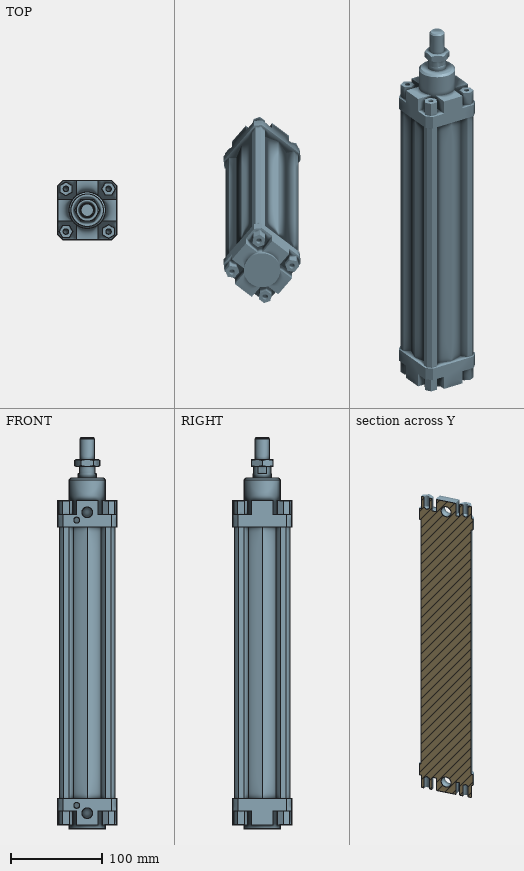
import cadquery as cq
import math

total_height = 429.0
spigot_height = 4.5
cap_height = 29.0
pocket_depth = 15.0
upper_cap_top = 360.0
collar_top = 385.0
upper_cap_bottom = upper_cap_top - cap_height
lower_cap_top = spigot_height + cap_height

cap_width = 65.0
cap_chamfer = 6.0
cross_half_width = 12.0
collar_diameter = 40.0
collar_chamfer = 2.0

post_pitch = 46.8
post_offset = post_pitch / 2
post_across_corners = 15.0
post_hole_diameter = 6.0
post_hole_depth = 13.0
drill_tip_depth = post_hole_diameter / 2 * math.tan(math.radians(30))

port_diameter = 11.5
port_depth = 12.0
port_to_cap_end = 13.0
screw_hole_diameter = 6.5
screw_hole_depth = 4.5
screw_hole_x = -11.5
screw_hole_to_cap_end = 21.5

barrel_half_width = 30.5
barrel_chamfer_start = 26.0
barrel_land_start = 20.0
barrel_recess_start = 15.0
barrel_recess_depth = 6.5
barrel_ridge_depth = 1.7

rod_diameter = 20.0
thread_diameter = 16.5
thread_chamfer_radial = 1.5
thread_chamfer_axial = 1.7
thread_bottom = 397.3
neck_diameter = 19.7
neck_bottom = 389.5
neck_taper_height = 1.5
flats_across = 17.0
rod_bottom = upper_cap_bottom

nut_bottom = thread_bottom
nut_height = 7.7
nut_across_flats = 24.0
nut_chamfer_angle = 30


def cylinder(diameter, bottom, top):
    return cq.Workplane("XY").workplane(offset=bottom).circle(diameter / 2).extrude(top - bottom)


def turned_around_z(shape):
    """The shape in all four quarter-turn positions about Z."""
    return [shape.rotate((0, 0, 0), (0, 0, 1), 90 * quarter) for quarter in range(4)]


def make_barrel():
    """Tube profile whose four equal sides have a recess with a shallow central ridge."""
    side = [
        (-barrel_chamfer_start, -barrel_half_width),
        (-barrel_land_start, -barrel_half_width),
        (-barrel_recess_start, -barrel_half_width + barrel_recess_depth),
        (0, -barrel_half_width + barrel_ridge_depth),
        (barrel_recess_start, -barrel_half_width + barrel_recess_depth),
        (barrel_land_start, -barrel_half_width),
        (barrel_chamfer_start, -barrel_half_width),
    ]
    outline = list(side)
    for _ in range(3):
        side = [(-y, x) for x, y in side]
        outline += side
    return (
        cq.Workplane("XY")
        .workplane(offset=lower_cap_top)
        .polyline(outline)
        .close()
        .extrude(upper_cap_bottom - lower_cap_top)
    )


def make_post():
    """Hexagonal corner post, standing on a pocket floor of a cap whose base is at Z = 0."""
    post_bottom = cap_height - pocket_depth
    return (
        cq.Workplane("XY")
        .workplane(offset=post_bottom)
        .center(-post_offset, -post_offset)
        .polygon(6, post_across_corners)
        .extrude(pocket_depth)
    )


def make_post_hole():
    """Blind hole with a conical drill tip, down from the top end of a post."""
    hole_bottom = cap_height - post_hole_depth
    return (
        cq.Workplane("XZ")
        .moveTo(0, cap_height)
        .lineTo(post_hole_diameter / 2, cap_height)
        .lineTo(post_hole_diameter / 2, hole_bottom)
        .lineTo(0, hole_bottom - drill_tip_depth)
        .close()
        .revolve(360, (0, 0), (0, 1))
        .translate((-post_offset, -post_offset, 0))
    )


def make_side_hole(x, z, diameter, depth):
    """Blind hole drilled into the -Y face of a cap."""
    return (
        cq.Workplane("XZ", origin=(x, -cap_width / 2, z))
        .circle(diameter / 2)
        .extrude(-depth)
    )


def make_cap():
    """End cap standing on Z = 0 with its posts pointing up."""
    cap = (
        cq.Workplane("XY")
        .rect(cap_width, cap_width)
        .extrude(cap_height)
        .edges("|Z")
        .chamfer(cap_chamfer)
    )
    pocket_size = cap_width / 2 - cross_half_width
    pocket = (
        cq.Workplane("XY")
        .box(pocket_size, pocket_size, pocket_depth, centered=False)
        .translate((cross_half_width, cross_half_width, cap_height - pocket_depth))
    )
    for corner_pocket in turned_around_z(pocket):
        cap = cap.cut(corner_pocket)
    for post in turned_around_z(make_post()):
        cap = cap.union(post)
    for hole in turned_around_z(make_post_hole()):
        cap = cap.cut(hole)
    port_z = cap_height - port_to_cap_end
    screw_hole_z = cap_height - screw_hole_to_cap_end
    cap = cap.cut(make_side_hole(0, port_z, port_diameter, port_depth))
    return cap.cut(make_side_hole(screw_hole_x, screw_hole_z, screw_hole_diameter, screw_hole_depth))


def make_collar():
    """Round rod collar, running down through the cap's corner pockets."""
    collar = cylinder(collar_diameter, upper_cap_bottom, collar_top)
    return collar.faces(">Z").edges().chamfer(collar_chamfer)


def make_housing():
    cap = make_cap()
    upper_cap = cap.translate((0, 0, upper_cap_bottom))
    lower_cap = cap.mirror("XY").translate((0, 0, lower_cap_top))
    housing = make_barrel().union(upper_cap).union(lower_cap)
    housing = housing.union(make_collar())
    housing = housing.union(cylinder(collar_diameter, 0, lower_cap_top))
    return housing.cut(cylinder(rod_diameter, rod_bottom, collar_top))


def make_rod():
    """Stepped rod: shank, neck with two wrench flats across X, and threaded end."""
    thread = cylinder(thread_diameter, thread_bottom, total_height)
    thread = thread.faces(">Z").edges().chamfer(thread_chamfer_axial, thread_chamfer_radial)
    neck = cylinder(neck_diameter, neck_bottom, thread_bottom)
    flats = (
        cq.Workplane("XY")
        .workplane(offset=neck_bottom)
        .rect(flats_across, neck_diameter)
        .extrude(thread_bottom - neck_bottom)
    )
    shank = cylinder(rod_diameter, rod_bottom, neck_bottom)
    shank = shank.faces(">Z").edges().chamfer(neck_taper_height, (rod_diameter - neck_diameter) / 2)
    return shank.union(neck.intersect(flats)).union(thread)


def make_nut():
    """Hexagon nut whose corners are turned off conically at both ends."""
    corner_diameter = nut_across_flats / math.cos(math.radians(30))
    blank = (
        cq.Workplane("XY")
        .workplane(offset=nut_bottom)
        .polygon(6, corner_diameter)
        .extrude(nut_height)
    )
    chamfer_radial = (corner_diameter - nut_across_flats) / 2
    chamfer_axial = chamfer_radial * math.tan(math.radians(nut_chamfer_angle))
    envelope = cylinder(corner_diameter, nut_bottom, nut_bottom + nut_height)
    envelope = envelope.faces("<Z or >Z").edges().chamfer(chamfer_axial, chamfer_radial)
    bore = cylinder(thread_diameter, nut_bottom, nut_bottom + nut_height)
    return blank.intersect(envelope).cut(bore)


housing = make_housing()
rod = make_rod()
nut = make_nut()

result = cq.Compound.makeCompound([housing.val(), rod.val(), nut.val()])